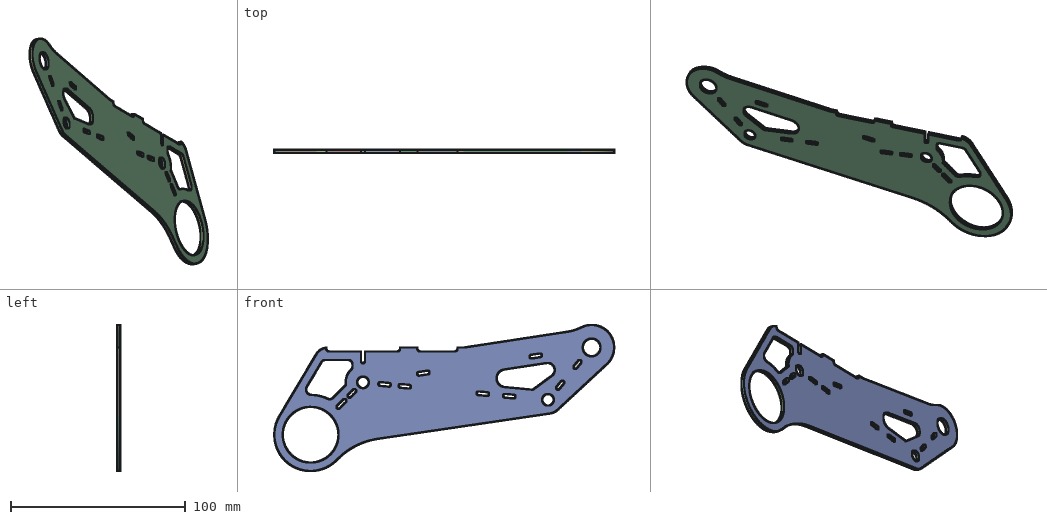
import math

import cadquery as cq

thickness = 2.0

head = (0.0, 0.0)
upper_pivot = (30.0, 30.0)
lower_pivot = (136.0, 20.0)
tail = (161.0, 50.0)
head_bore = 31.8
pivot_bore = 6.5
tail_bore = 10.0

head_radius = 20.88
tail_radius = 13.0
lower_corner_radius = 8.0
upper_edge_offset = 11.05
top_z = 50.0
nose_angle = 59.2
nose_radius = 8.0
throat_radius = 40.0
neck_radius = 25.0

recess_depth = 2.2
recess_spans = [(9.0, 51.2), (61.2, 84.1)]
recess_corner_radius = 1.5
notch_width = 2.2
notch_depth = 6.8

slot_width = 2.0
long_slot = 7.0
short_slot = 6.0

wall = 5.0
front_window_head_radius = 22.9
front_window_pivot_radius = 10.0
front_window_slot_offset = 6.0
front_window_corner_radius = 2.4
front_window_low_left_radius = 3.0
rear_window_left_radius = 5.0
rear_window_right_radius = 4.0
rear_window_right_center_x = 135.8
rear_window_lower_corner = 127.3


def direction(start, end):
    """Angle in degrees of the line from start to end."""
    return math.degrees(math.atan2(end[1] - start[1], end[0] - start[0]))


def polar(center, radius, angle):
    """Point at a radius and an angle in degrees around a centre."""
    turn = math.radians(angle)
    return (center[0] + radius * math.cos(turn), center[1] + radius * math.sin(turn))


def arc(path, center, radius, start, end):
    """Continue a path along an arc that runs from the start angle to the end angle."""
    return path.threePointArc(polar(center, radius, (start + end) / 2), polar(center, radius, end))


def meet(point_a, angle_a, point_b, angle_b):
    """Crossing point of two lines, each given by a point and an angle."""
    ax, az = polar((0, 0), 1, angle_a)
    bx, bz = polar((0, 0), 1, angle_b)
    dx = point_b[0] - point_a[0]
    dz = point_b[1] - point_a[1]
    along = (dx * bz - dz * bx) / (ax * bz - az * bx)
    return polar(point_a, along, angle_a)


def line_circle(point, angle, center, radius, side):
    """Crossing of a line and a circle; side is +1 for the far crossing and -1 for the near one."""
    foot = meet(point, angle, center, angle + 90)
    half_chord = math.sqrt(radius**2 - math.dist(foot, center) ** 2)
    return polar(foot, side * half_chord, angle)


def offset(point, angle, distance):
    """Point moved sideways, to the left of a line at the given angle."""
    return polar(point, distance, angle + 90)


head_to_upper = direction(head, upper_pivot)
head_to_lower = direction(head, lower_pivot)
upper_to_lower = direction(upper_pivot, lower_pivot)
upper_to_tail = direction(upper_pivot, tail)
lower_to_tail = direction(lower_pivot, tail)


def plate():
    sloped_start = polar(head, head_radius, nose_angle + 90)
    nose_inner = offset(sloped_start, nose_angle, -nose_radius)
    nose_center = meet(nose_inner, nose_angle, (0, top_z - nose_radius), 0)

    upper_edge = offset(upper_pivot, upper_to_tail, upper_edge_offset)
    upper_start = meet((0, top_z), 0, upper_edge, upper_to_tail)

    neck_line = offset(upper_edge, upper_to_tail, neck_radius)
    neck_center = line_circle(neck_line, upper_to_tail, tail, tail_radius + neck_radius, -1)
    neck_end = direction(neck_center, tail)

    radius_change = tail_radius - lower_corner_radius
    taper = math.degrees(math.asin(radius_change / math.dist(lower_pivot, tail)))
    tail_edge = lower_to_tail - taper

    throat_line = offset(lower_pivot, head_to_lower, -lower_corner_radius - throat_radius)
    throat_center = line_circle(throat_line, head_to_lower, head, head_radius + throat_radius, 1)
    throat_end = direction(throat_center, head)

    path = cq.Workplane("XZ").moveTo(*sloped_start)
    path = path.lineTo(*polar(nose_center, nose_radius, nose_angle + 90))
    path = arc(path, nose_center, nose_radius, nose_angle + 90, 90)
    path = path.lineTo(*upper_start)
    path = path.lineTo(*polar(neck_center, neck_radius, upper_to_tail - 90))
    path = arc(path, neck_center, neck_radius, upper_to_tail - 90, neck_end)
    path = arc(path, tail, tail_radius, neck_end + 180, tail_edge - 90)
    path = path.lineTo(*polar(lower_pivot, lower_corner_radius, tail_edge - 90))
    path = arc(path, lower_pivot, lower_corner_radius, tail_edge - 90, head_to_lower - 90)
    path = path.lineTo(*polar(throat_center, throat_radius, head_to_lower + 90))
    path = arc(path, throat_center, throat_radius, head_to_lower + 90, throat_end)
    path = arc(path, head, head_radius, throat_end - 180, nose_angle + 90 - 360)
    return path.close().extrude(-thickness)


def bore(center, diameter):
    return cq.Workplane("XZ").center(*center).circle(diameter / 2).extrude(-thickness)


def slot(start, end, distance, length):
    """Slot along the line from start to end, centred at a distance from start."""
    angle = direction(start, end)
    center = polar(start, distance, angle)
    return cq.Workplane("XZ").center(*center).slot2D(length, slot_width, angle).extrude(-thickness)


def recess(left, right):
    """Recess in the top edge with rounded floor corners."""
    height = 2 * recess_depth
    block = cq.Workplane("XZ").center((left + right) / 2, top_z).rect(right - left, height)
    return block.extrude(-thickness).edges("|Y and <Z").fillet(recess_corner_radius)


def notch():
    """Round-ended notch in the first recess floor, above the upper pivot."""
    floor = top_z - recess_depth
    center = (upper_pivot[0], floor)
    return cq.Workplane("XZ").center(*center).slot2D(2 * notch_depth, notch_width, 90).extrude(-thickness)


def front_window():
    """Window between the nose, the head bore and the upper pivot."""
    window_top = top_z - recess_depth - wall
    right = upper_pivot[0] - notch_width / 2 - wall
    left_edge = polar(head, head_radius - wall, nose_angle + 90)
    slot_edge = offset(head, head_to_upper, front_window_slot_offset)

    top_left = meet(left_edge, nose_angle, (0, window_top), 0)
    top_right = (right, window_top)
    pivot_top = line_circle(top_right, 90, upper_pivot, front_window_pivot_radius, 1)
    pivot_low = line_circle(slot_edge, head_to_upper, upper_pivot, front_window_pivot_radius, -1)
    low_right = line_circle(slot_edge, head_to_upper, head, front_window_head_radius, 1)
    low_left = line_circle(left_edge, nose_angle, head, front_window_head_radius, 1)

    top_angle = direction(upper_pivot, pivot_top)
    low_angle = direction(upper_pivot, pivot_low) % 360

    path = cq.Workplane("XZ").moveTo(*top_left).lineTo(*top_right).lineTo(*pivot_top)
    path = arc(path, upper_pivot, front_window_pivot_radius, top_angle, low_angle)
    path = path.lineTo(*low_right)
    head_start = direction(head, low_right)
    head_end = direction(head, low_left)
    path = arc(path, head, front_window_head_radius, head_start, head_end)
    window = path.close().extrude(-thickness)
    corners = [
        (top_left, front_window_corner_radius),
        (top_right, front_window_corner_radius),
        (pivot_top, front_window_corner_radius),
        (low_right, front_window_corner_radius),
        (low_left, front_window_low_left_radius),
    ]
    for corner, radius in corners:
        nearest = cq.selectors.NearestToPointSelector((corner[0], thickness / 2, corner[1]))
        window = window.edges("|Y").edges(nearest).fillet(radius)
    return window


def rear_window():
    """Window between the upper slots, the lower slots and the tail."""
    upper_side = offset(upper_pivot, upper_to_tail, -wall)
    lower_side = offset(upper_pivot, upper_to_lower, wall)
    left_radius = rear_window_left_radius
    right_radius = rear_window_right_radius

    left_center = meet(
        offset(upper_side, upper_to_tail, -left_radius),
        upper_to_tail,
        offset(lower_side, upper_to_lower, left_radius),
        upper_to_lower,
    )
    right_center = meet(
        offset(upper_side, upper_to_tail, -right_radius),
        upper_to_tail,
        (rear_window_right_center_x, 0),
        90,
    )
    corner = meet(lower_side, upper_to_lower, (rear_window_lower_corner, 0), 90)
    reach = math.dist(corner, right_center)
    right_side = direction(corner, right_center) - math.degrees(math.asin(right_radius / reach))

    path = cq.Workplane("XZ").moveTo(*polar(left_center, left_radius, upper_to_tail + 90))
    path = path.lineTo(*polar(right_center, right_radius, upper_to_tail + 90))
    path = arc(path, right_center, right_radius, upper_to_tail + 90, right_side - 90)
    path = path.lineTo(*corner)
    path = path.lineTo(*polar(left_center, left_radius, upper_to_lower - 90))
    path = arc(path, left_center, left_radius, upper_to_lower + 270, upper_to_tail + 90)
    return path.close().extrude(-thickness)


result = plate()

bores = [(head, head_bore), (upper_pivot, pivot_bore), (lower_pivot, pivot_bore), (tail, tail_bore)]
for center, diameter in bores:
    result = result.cut(bore(center, diameter))

slots = [
    (head, upper_pivot, 25.0, long_slot),
    (head, upper_pivot, 33.5, short_slot),
    (upper_pivot, lower_pivot, 12.4, long_slot),
    (upper_pivot, lower_pivot, 24.1, long_slot),
    (upper_pivot, lower_pivot, 69.0, long_slot),
    (upper_pivot, lower_pivot, 84.2, long_slot),
    (upper_pivot, tail, 35.0, long_slot),
    (upper_pivot, tail, 100.1, long_slot),
    (lower_pivot, tail, 10.9, short_slot),
    (lower_pivot, tail, 26.4, short_slot),
]
for start, end, distance, length in slots:
    result = result.cut(slot(start, end, distance, length))

for left, right in recess_spans:
    result = result.cut(recess(left, right))

result = result.cut(notch()).cut(front_window()).cut(rear_window())